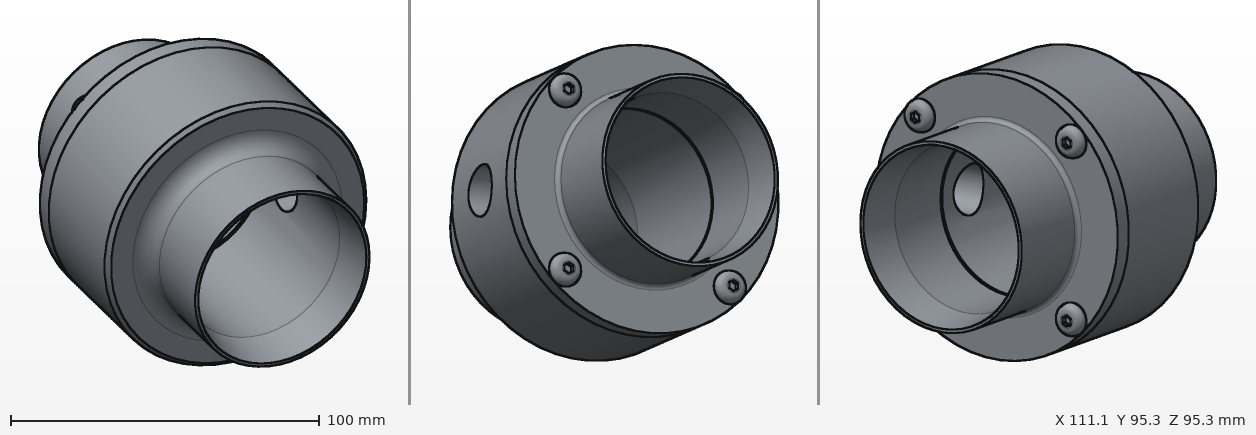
import cadquery as cq
import math

TUBE_DIAMETER = 63.5
BORE_DIAMETER = 57.15
TUBE_LENGTH = 31.75
BARREL_DIAMETER = 95.25
BARREL_LENGTH = 47.625
COVER_THICKNESS = 6.35

SPIGOT_DIAMETER = 73.66
SPIGOT_LENGTH = 3.1
SPIGOT_END_GAP = 1.0

MOUTH_DIAMETER = 61.12
MOUTH_TAPER_LENGTH = 15.1

COVER_FILLET = 1.5875
HOUSING_FILLET = 6.35
BARREL_CHAMFER = 1.5875

PORT_DIAMETER = 17.1
PORT_X = 1.5875

SCREW_COUNT = 4
SCREW_CIRCLE_DIAMETER = 84.1375
SCREW_STEP = 360 / SCREW_COUNT
HEAD_DIAMETER = 11.1
HEAD_HEIGHT = 3.35
HEAD_RIM_HEIGHT = 0.8
HEAD_CROWN_DIAMETER = 4.76
SOCKET_ACROSS_FLATS = 3.175
SOCKET_DEPTH = 1.8

PART_LENGTH = BARREL_LENGTH + 2 * TUBE_LENGTH
END_X = PART_LENGTH / 2
BARREL_X = BARREL_LENGTH / 2
JOINT_X = -BARREL_X + COVER_THICKNESS
SPIGOT_X = JOINT_X + SPIGOT_LENGTH
RECESS_X = SPIGOT_X + SPIGOT_END_GAP

TUBE_RADIUS = TUBE_DIAMETER / 2
BORE_RADIUS = BORE_DIAMETER / 2
MOUTH_RADIUS = MOUTH_DIAMETER / 2
BARREL_RADIUS = BARREL_DIAMETER / 2
SPIGOT_RADIUS = SPIGOT_DIAMETER / 2


def blend_middle(face_x, side, fillet):
    """Midpoint of the concave quarter arc between a barrel face and the tube, on the given side in X."""
    reach = fillet * (1 - math.sqrt(0.5))
    return (face_x + side * reach, TUBE_RADIUS + reach)


def revolve_about_x(profile):
    """Close an outline drawn above the X axis and turn it into a solid of revolution."""
    return profile.close().revolve(360, (0, 0, 0), (1, 0, 0))


def make_cover():
    """Round cover plate with the -X tube filleted onto it and a locating spigot behind it."""
    profile = (
        cq.Workplane("XY")
        .moveTo(SPIGOT_X, BORE_RADIUS)
        .lineTo(-END_X + MOUTH_TAPER_LENGTH, BORE_RADIUS)
        .lineTo(-END_X, MOUTH_RADIUS)
        .lineTo(-END_X, TUBE_RADIUS)
        .lineTo(-BARREL_X - COVER_FILLET, TUBE_RADIUS)
        .threePointArc(
            blend_middle(-BARREL_X, -1, COVER_FILLET),
            (-BARREL_X, TUBE_RADIUS + COVER_FILLET),
        )
        .lineTo(-BARREL_X, BARREL_RADIUS)
        .lineTo(JOINT_X, BARREL_RADIUS)
        .lineTo(JOINT_X, SPIGOT_RADIUS)
        .lineTo(SPIGOT_X, SPIGOT_RADIUS)
    )
    return revolve_about_x(profile)


def make_housing():
    """Barrel recessed for the spigot, with the +X tube blended onto it and a radial +Y port."""
    profile = (
        cq.Workplane("XY")
        .moveTo(RECESS_X, BORE_RADIUS)
        .lineTo(RECESS_X, SPIGOT_RADIUS)
        .lineTo(JOINT_X, SPIGOT_RADIUS)
        .lineTo(JOINT_X, BARREL_RADIUS)
        .lineTo(BARREL_X - BARREL_CHAMFER, BARREL_RADIUS)
        .lineTo(BARREL_X, BARREL_RADIUS - BARREL_CHAMFER)
        .lineTo(BARREL_X, TUBE_RADIUS + HOUSING_FILLET)
        .threePointArc(
            blend_middle(BARREL_X, 1, HOUSING_FILLET),
            (BARREL_X + HOUSING_FILLET, TUBE_RADIUS),
        )
        .lineTo(END_X, TUBE_RADIUS)
        .lineTo(END_X, MOUTH_RADIUS)
        .lineTo(END_X - MOUTH_TAPER_LENGTH, BORE_RADIUS)
    )
    port = (
        cq.Workplane("XZ", origin=(PORT_X, 0, 0))
        .circle(PORT_DIAMETER / 2)
        .extrude(-BARREL_RADIUS)
    )
    return revolve_about_x(profile).cut(port)


def make_screw(angle):
    """Button head seated on the cover face at the given angle about X, with a hexagon socket."""
    head_radius = HEAD_DIAMETER / 2
    crown_radius = HEAD_CROWN_DIAMETER / 2
    dome_middle = (
        -HEAD_RIM_HEIGHT - (HEAD_HEIGHT - HEAD_RIM_HEIGHT) * math.sqrt(0.5),
        crown_radius + (head_radius - crown_radius) * math.sqrt(0.5),
    )
    head = revolve_about_x(
        cq.Workplane("XY")
        .lineTo(0, head_radius)
        .lineTo(-HEAD_RIM_HEIGHT, head_radius)
        .threePointArc(dome_middle, (-HEAD_HEIGHT, crown_radius))
        .lineTo(-HEAD_HEIGHT, 0)
    )
    socket = (
        cq.Workplane("YZ", origin=(-HEAD_HEIGHT, 0, 0))
        .polygon(6, SOCKET_ACROSS_FLATS, circumscribed=True)
        .extrude(SOCKET_DEPTH)
    )
    circle_radius = SCREW_CIRCLE_DIAMETER / 2
    seat = (
        -BARREL_X,
        circle_radius * math.cos(math.radians(angle)),
        circle_radius * math.sin(math.radians(angle)),
    )
    return head.cut(socket).translate(seat)


cover = make_cover()
housing = make_housing()
screws = [make_screw(SCREW_STEP * (index + 0.5)) for index in range(SCREW_COUNT)]

result = cq.Compound.makeCompound(
    [cover.val(), housing.val(), *[screw.val() for screw in screws]]
)